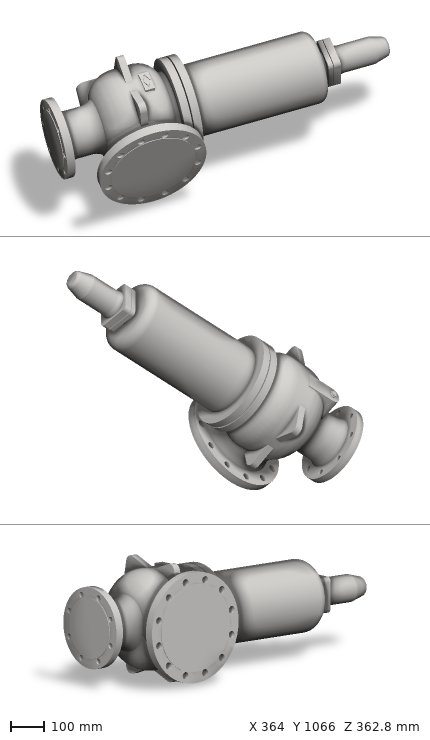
import cadquery as cq


inlet_flange_r = 125.0
inlet_face_r = 94.0
inlet_flange_top = 28.0
raised_face = 2.0
inlet_bolt_circle_r = 105.0
inlet_bolt_d = 18.0
inlet_bolt_count = 8
neck_r = 75.0
neck_bottom = 60.0
neck_top = 105.0
neck_foot_r = 83.0

body_r = 156.0
bowl_bottom = 140.0
bowl_bottom_r = 87.0
body_bottom = 230.0
body_top = 292.0
shoulder_top = 357.0
shoulder_top_r = 116.0
throat_r = 111.0

joint_flange_r = 150.0
joint_bottom = 373.0
joint_flange_thickness = 25.0
joint_top = 426.0
gasket_r = 124.0

bonnet_r = 112.0
bonnet_top = 845.0
bonnet_round = 30.0
stem_r = 39.0
cap_r = 43.0
cap_foot_r = 46.0
cap_foot_top = 917.0
cap_taper_start = 1014.0
cap_top_r = 31.0
cap_end = 1066.0
cap_round = 10.0

cap_flange_side = 110.0
cap_flange_corner = 14.0
cap_flange_bottom = 859.0
cap_flange_top = 899.0
cap_gap_bottom = 874.0
cap_gap = 2.0

outlet_y = 249.0
outlet_r = 113.0
outlet_flare_start = 141.0
outlet_flare_r = 122.0
outlet_flange_r = 170.0
outlet_flange_back = 170.0
outlet_face_x = 200.0
outlet_face_r = 134.0
outlet_bolt_circle_r = 147.0
outlet_bolt_d = 22.0
outlet_bolt_count = 12

lug_thickness = 22.0
lug_tip = (108.0, 189.0)
lug_side_foot = (129.0, 80.0)
lug_top_foot = (13.0, 154.0)
lug_root = (13.0, 80.0)
lug_round = 22.0

drain_y = 154.0
drain_face_x = -157.0
drain_half_width = 26.0
drain_pad_top = 248.0
drain_depth = 103.0
drain_draft = 8.0
plug_r = 12.0
plug_collar_x = -160.0
plug_tip_r = 9.0
plug_tip_x = -164.0

plate_size = (65.0, 31.0)
plate_y = 298.0
plate_top_z = 161.0
plate_depth = 27.0
diamond_outer = (53.0, 25.0)
diamond_inner = (40.0, 18.0)
diamond_depth = 3.0


def end_tangent_radius(step, length):
    """Radius of an arc that leaves a straight wall tangentially and moves `step` away over `length`."""
    return (step**2 + length**2) / (2 * step)


def bolt_holes(plane, circle_r, count, diameter, depth):
    """Cutters on a bolt circle, with the holes straddling the centre lines."""
    return (
        cq.Workplane(plane)
        .polarArray(circle_r, 180 / count, 360, count)
        .circle(diameter / 2)
        .extrude(depth)
    )


def make_body():
    foot_arc = end_tangent_radius(neck_foot_r - neck_r, neck_bottom - inlet_flange_top)
    flare_arc = end_tangent_radius(bowl_bottom_r - neck_r, bowl_bottom - neck_top)
    bowl_arc = end_tangent_radius(body_r - bowl_bottom_r, body_bottom - bowl_bottom)
    body = (
        cq.Workplane("XY")
        .lineTo(inlet_face_r, 0)
        .lineTo(inlet_face_r, raised_face)
        .lineTo(inlet_flange_r, raised_face)
        .lineTo(inlet_flange_r, inlet_flange_top)
        .lineTo(neck_foot_r, inlet_flange_top)
        .radiusArc((neck_r, neck_bottom), foot_arc)
        .lineTo(neck_r, neck_top)
        .radiusArc((bowl_bottom_r, bowl_bottom), flare_arc)
        .radiusArc((body_r, body_bottom), -bowl_arc)
        .lineTo(body_r, body_top)
        .tangentArcPoint((shoulder_top_r, shoulder_top), relative=False)
        .tangentArcPoint((throat_r, joint_bottom), relative=False)
        .lineTo(joint_flange_r, joint_bottom)
        .lineTo(joint_flange_r, joint_bottom + joint_flange_thickness)
        .lineTo(gasket_r, joint_bottom + joint_flange_thickness)
        .lineTo(gasket_r, joint_top - joint_flange_thickness)
        .lineTo(0, joint_top - joint_flange_thickness)
        .close()
        .revolve(360, (0, 0), (0, 1))
    )
    inlet_plane = cq.Plane((0, 0, 0), xDir=(1, 0, 0), normal=(0, 1, 0))
    return body.cut(
        bolt_holes(inlet_plane, inlet_bolt_circle_r, inlet_bolt_count, inlet_bolt_d, inlet_flange_top)
    )


def make_bonnet():
    cap_tip_r = cap_top_r - cap_round
    bonnet = (
        cq.Workplane("XY")
        .moveTo(0, joint_top - joint_flange_thickness)
        .lineTo(joint_flange_r, joint_top - joint_flange_thickness)
        .lineTo(joint_flange_r, joint_top)
        .lineTo(bonnet_r, joint_top)
        .lineTo(bonnet_r, bonnet_top - bonnet_round)
        .tangentArcPoint((bonnet_r - bonnet_round, bonnet_top), relative=False)
        .lineTo(stem_r, bonnet_top)
        .lineTo(stem_r, cap_flange_top)
        .lineTo(cap_foot_r, cap_flange_top)
        .lineTo(cap_r, cap_foot_top)
        .lineTo(cap_r, cap_taper_start)
        .lineTo(cap_top_r, cap_end - cap_round)
        .tangentArcPoint((cap_tip_r, cap_end), relative=False)
        .lineTo(0, cap_end)
        .close()
        .revolve(360, (0, 0), (0, 1))
    )
    lower = square_flange(cap_flange_bottom, cap_gap_bottom)
    upper = square_flange(cap_gap_bottom + cap_gap, cap_flange_top)
    return bonnet.union(lower).union(upper)


def square_flange(bottom, top):
    return (
        cq.Workplane("XZ", origin=(0, bottom, 0))
        .rect(cap_flange_side, cap_flange_side)
        .extrude(bottom - top)
        .edges("|Y")
        .fillet(cap_flange_corner)
    )


def make_outlet():
    flare_arc = end_tangent_radius(outlet_flare_r - outlet_r, outlet_flange_back - outlet_flare_start)
    nozzle = (
        cq.Workplane("XY", origin=(0, outlet_y, 0))
        .lineTo(0, outlet_r)
        .lineTo(outlet_flare_start, outlet_r)
        .radiusArc((outlet_flange_back, outlet_flare_r), -flare_arc)
        .lineTo(outlet_flange_back, outlet_flange_r)
        .lineTo(outlet_face_x - raised_face, outlet_flange_r)
        .lineTo(outlet_face_x - raised_face, outlet_face_r)
        .lineTo(outlet_face_x, outlet_face_r)
        .lineTo(outlet_face_x, 0)
        .close()
        .revolve(360, (0, 0), (1, 0))
    )
    flange_plane = cq.Plane((outlet_flange_back, outlet_y, 0), xDir=(0, 1, 0), normal=(1, 0, 0))
    thickness = outlet_face_x - outlet_flange_back
    return nozzle.cut(
        bolt_holes(flange_plane, outlet_bolt_circle_r, outlet_bolt_count, outlet_bolt_d, thickness)
    )


def make_lugs():
    lug = (
        cq.Workplane("XZ", origin=(0, outlet_y, 0))
        .polyline([lug_root, lug_side_foot, lug_tip, lug_top_foot])
        .close()
        .extrude(lug_thickness / 2, both=True)
        .edges("|Y")
        .edges(">Z")
        .fillet(lug_round)
    )
    upper_pair = lug.union(lug.mirror("YZ"))
    return upper_pair.union(upper_pair.mirror("XY"))


def make_drain():
    boss = (
        cq.Workplane("YZ", origin=(drain_face_x, 0, 0))
        .moveTo(drain_pad_top, -drain_half_width)
        .lineTo(drain_pad_top, drain_half_width)
        .lineTo(drain_y, drain_half_width)
        .threePointArc((drain_y - drain_half_width, 0), (drain_y, -drain_half_width))
        .close()
        .extrude(drain_depth, taper=-drain_draft)
    )
    plug_plane = cq.Workplane("YZ", origin=(drain_face_x, drain_y, 0))
    collar = plug_plane.circle(plug_r).extrude(plug_collar_x - drain_face_x)
    tip = plug_plane.circle(plug_tip_r).extrude(plug_tip_x - drain_face_x)
    return boss.union(collar).union(tip)


def diamond(size):
    half_x = size[0] / 2
    half_y = size[1] / 2
    return (
        cq.Workplane("XY", origin=(0, plate_y, plate_top_z))
        .polyline([(half_x, 0), (0, half_y), (-half_x, 0), (0, -half_y)])
        .close()
        .extrude(-diamond_depth)
    )


def make_name_plate():
    plate = (
        cq.Workplane("XY", origin=(0, plate_y, plate_top_z))
        .rect(*plate_size)
        .extrude(-plate_depth)
    )
    groove = diamond(diamond_outer).cut(diamond(diamond_inner))
    return plate.cut(groove)


result = (
    make_body()
    .union(make_bonnet())
    .union(make_outlet())
    .union(make_lugs())
    .union(make_drain())
    .union(make_name_plate())
)